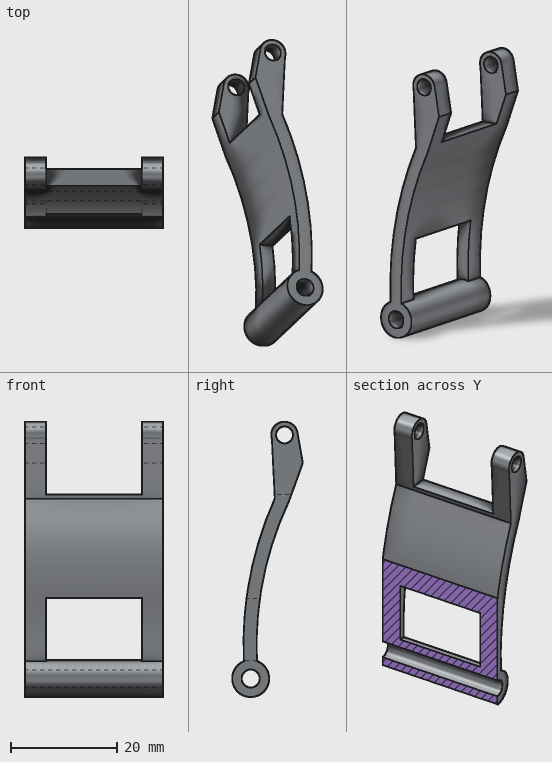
import cadquery as cq
import math

width = 26.0
arm_width = 4.0
gap_width = width - 2 * arm_width

barrel_diameter = 7.0
barrel_bore = 3.35

lug_diameter = 5.0
lug_bore = 3.15
lug_y = 6.35
total_height = 51.77
lug_z = total_height - barrel_diameter / 2 - lug_diameter / 2

strap_thickness = 2.5
strap_front = -1.3
strap_back = strap_front + strap_thickness
strap_foot_z = math.sqrt((barrel_diameter / 2) ** 2 - strap_front**2)
back_arc_middle = (2.23, 18.0)
back_arc_end = (7.2, 33.3)
heel = (9.81, 40.5)
front_kink = (4.5, 33.8)
front_arc_middle = (-0.2, 18.85)

lug_back_seam_z = 46.2
lug_front_seam_z = 45.05

fork_floor_z = 34.6
window_top_z = 15.1


def lug_point(z, side):
    """Point on the lug round at height z; side is +1 for the back, -1 for the front."""
    half_chord = math.sqrt((lug_diameter / 2) ** 2 - (z - lug_z) ** 2)
    return (lug_y + side * half_chord, z)


def cylinder_along_x(diameter, y, z):
    """Cylinder spanning the full width, parallel to X."""
    return (
        cq.Workplane("YZ", origin=(-width / 2, 0, 0))
        .center(y, z)
        .circle(diameter / 2)
        .extrude(width)
    )


def gap_block(z_bottom, z_top):
    """Block that clears the space between the two arms over a height range."""
    depth = 4 * heel[0]
    base = cq.Workplane("XY", origin=(0, 0, z_bottom)).rect(gap_width, depth)
    return base.extrude(z_top - z_bottom)


def make_strap():
    """Curved strap that rises from the barrel axis and wraps round the lug."""
    return (
        cq.Workplane("YZ", origin=(-width / 2, 0, 0))
        .moveTo(strap_back, 0)
        .lineTo(strap_back, strap_foot_z)
        .threePointArc(back_arc_middle, back_arc_end)
        .lineTo(*heel)
        .lineTo(*lug_point(lug_back_seam_z, 1))
        .threePointArc((lug_y, lug_z + lug_diameter / 2), lug_point(lug_front_seam_z, -1))
        .lineTo(*front_kink)
        .threePointArc(front_arc_middle, (strap_front, strap_foot_z))
        .lineTo(strap_front, 0)
        .close()
        .extrude(width)
    )


body = make_strap()
body = body.cut(gap_block(fork_floor_z, total_height))
body = body.cut(gap_block(0, window_top_z))
body = body.union(cylinder_along_x(barrel_diameter, 0, 0))
body = body.cut(cylinder_along_x(barrel_bore, 0, 0))
result = body.cut(cylinder_along_x(lug_bore, lug_y, lug_z))